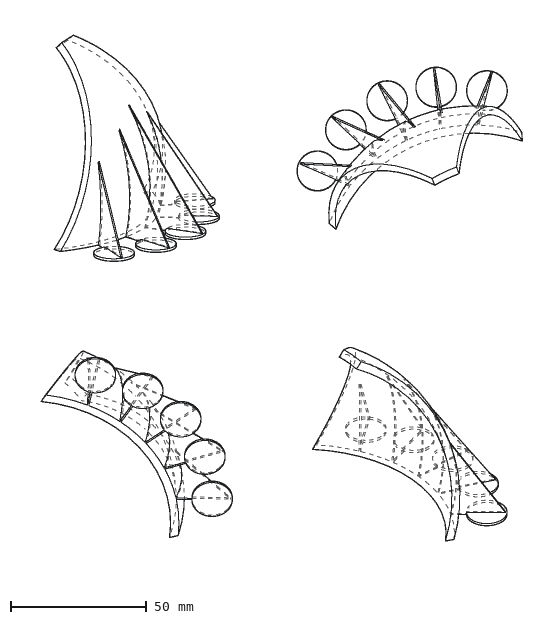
import cadquery as cq
import math

outer_radius = 59.1
wall = 3.0
inner_radius = outer_radius - wall
centre_height = 15.5

trim_tilt = 45.0
top_edge_offset = 19.68
top_edge_width = 10.0
side_angle = 30.0
outline_depth = 2 * outer_radius

fan_axis_x = 19.4
foot_count = 5
foot_step_angle = 20.0
foot_circle_radius = 54.05
foot_radius = 7.5
foot_thickness = 1.0
fin_thickness = 0.6
fin_start_radius = 31.0
fin_slope = 56.7


def sphere(radius):
    return cq.Workplane("XY").sphere(radius).translate((0, 0, centre_height))


def ground_clearance():
    """Block filling everything above the ground plane."""
    size = 2 * (outer_radius + centre_height)
    return cq.Workplane("XY").box(size, size, size, centered=(True, True, False))


def trim_prism():
    """Trapezoidal prism running outward from the sphere centre, toward +X and upward."""
    tilt = math.radians(trim_tilt)
    outline_plane = cq.Plane(
        origin=(0, 0, centre_height),
        xDir=(0, 1, 0),
        normal=(math.cos(tilt), 0, math.sin(tilt)),
    )
    top_half = top_edge_width / 2
    bottom_half = top_half + outline_depth * math.tan(math.radians(side_angle))
    bottom = top_edge_offset - outline_depth
    return (
        cq.Workplane(outline_plane)
        .moveTo(-top_half, top_edge_offset)
        .lineTo(top_half, top_edge_offset)
        .lineTo(bottom_half, bottom)
        .lineTo(-bottom_half, bottom)
        .close()
        .extrude(outline_depth)
    )


def shell():
    wall_body = sphere(outer_radius).cut(sphere(inner_radius))
    return wall_body.intersect(trim_prism()).intersect(ground_clearance())


def fin():
    """Triangular fin in the XZ plane, from inside the shell to the outer edge of its foot."""
    toe = foot_circle_radius + foot_radius
    peak = (toe - fin_start_radius) * math.tan(math.radians(fin_slope))
    return (
        cq.Workplane("XZ")
        .polyline([(fin_start_radius, 0), (toe, 0), (fin_start_radius, peak)])
        .close()
        .extrude(fin_thickness / 2, both=True)
    )


def foot():
    return cq.Workplane("XY").center(foot_circle_radius, 0).circle(foot_radius).extrude(foot_thickness)


def supports():
    """All fins and feet, with the fins stopped halfway into the shell wall."""
    support = fin().union(foot())
    fan = cq.Workplane("XY")
    for index in range(foot_count):
        angle = (index - (foot_count - 1) / 2) * foot_step_angle
        fan = fan.union(support.rotate((0, 0, 0), (0, 0, 1), angle))
    return fan.translate((fan_axis_x, 0, 0)).cut(sphere(outer_radius - wall / 2))


result = shell().union(supports())